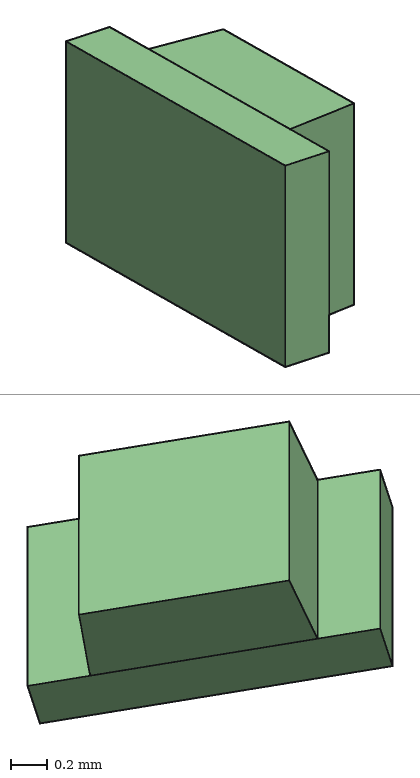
import cadquery as cq

plate_width = 2.01
plate_thickness = 0.305
height = 1.24

total_depth = 0.79
block_depth = total_depth - plate_thickness
block_root_width = 1.296
block_tip_width = 1.198


def make_plate():
    """Rectangular plate with its front face at Y = 0."""
    return cq.Workplane("XY").box(plate_width, plate_thickness, height, centered=(True, False, True))


def make_block():
    """Block that narrows away from the plate, with flat top and bottom."""
    outline = [
        (-block_root_width / 2, 0),
        (block_root_width / 2, 0),
        (block_tip_width / 2, block_depth),
        (-block_tip_width / 2, block_depth),
    ]
    block = cq.Workplane("XY").polyline(outline).close().extrude(height / 2, both=True)
    return block.translate((0, plate_thickness, 0))


plate = make_plate()
block = make_block()

result = cq.Compound.makeCompound([plate.val(), block.val()])